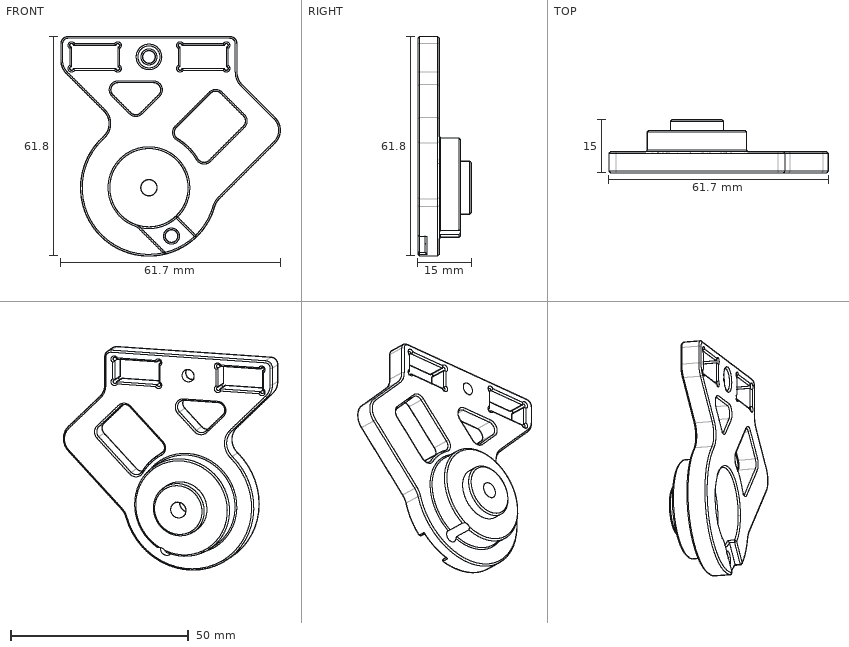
import cadquery as cq
import math


PLATE_THICKNESS = 6.0
EDGE_CHAMFER = 0.5
DISC_RADIUS = 19.25
FLANGE_HALF_WIDTH = 24.75
FLANGE_TOP = 42.5
FLANGE_CORNER_RADIUS = 2.0
BEND_RADIUS = 5.0
LEFT_SLOPE_SUM = 8.85
ARM_END = 39.0
ARM_SIDE = 16.19

HUB_RADIUS = 14.0
HUB_HEIGHT = 6.0
HUB_BASE_FLARE = 0.4
BOSS_RADIUS = 7.5
BOSS_HEIGHT = 3.0
TOTAL_DEPTH = PLATE_THICKNESS + HUB_HEIGHT + BOSS_HEIGHT
RECESS_RADIUS = 11.0
RECESS_DEPTH = 6.5
SHAFT_HOLE_RADIUS = 2.25

SLOT_ANGLE = -45.0
SLOT_DEPTH = 2.0
SLOT_WIDTH = 9.0
SCREW_RADIUS = 1.75
SLOT_SCREW_DISTANCE = 15.0
SLOT_SCREW_ANGLE = -65.0

ROW_Z = 36.75
WINDOW_X = 15.25
WINDOW_WIDTH = 13.0
WINDOW_HEIGHT = 6.5
WINDOW_RELIEF_RADIUS = 0.5
COUNTERBORE_RADIUS = 3.1
COUNTERBORE_DEPTH = 2.0

OPENING_CORNER_RADIUS = 2.0
TRIANGLE_TOP = 29.5
TRIANGLE_APEX = (-3.7, 19.7)
ARM_ANGLE = 45.0
ARM_OPENING_HALF_WIDTH = 6.5
ARM_OPENING_END = 33.0
ARM_OPENING_INNER_RADIUS = 16.0

ROOT2 = math.sqrt(2)


def plane_at(depth):
    """Workplane at Y = depth, drawn in X and Z, extruding towards +Y."""
    return cq.Workplane(cq.Plane(origin=(0, depth, 0), xDir=(1, 0, 0), normal=(0, 1, 0)))


def xz(x, z):
    """Sketch point of a plane_at() workplane, whose second axis points to -Z."""
    return (x, -z)


def along(distance, offset, angle):
    """Point at a distance along a direction and an offset to its left."""
    a = math.radians(angle)
    x = distance * math.cos(a) - offset * math.sin(a)
    z = distance * math.sin(a) + offset * math.cos(a)
    return (x, z)


def prism(points, depth, start=0.0):
    return plane_at(start).polyline([xz(*p) for p in points]).close().extrude(depth)


def cylinder(radius, depth, start=0.0, center=(0, 0)):
    return plane_at(start).center(*xz(*center)).circle(radius).extrude(depth)


def bore(radius, depth, start=0.0, center=(0, 0)):
    """Cutter for a round hole with a chamfered mouth at Y = start."""
    mouth = (
        plane_at(start)
        .center(*xz(*center))
        .circle(radius + EDGE_CHAMFER)
        .workplane(offset=EDGE_CHAMFER)
        .circle(radius)
        .loft()
    )
    return cylinder(radius, depth, start, center).union(mouth)


def round_corner(body, corner, radius):
    """Fillet the edge along Y that passes through the given corner."""
    x, z = corner
    middle = (x, PLATE_THICKNESS / 2, z)
    return body.edges("|Y").edges(cq.selectors.NearestToPointSelector(middle)).fillet(radius)


def plate_outline():
    disc = cylinder(DISC_RADIUS, PLATE_THICKNESS)
    left_bend = (-FLANGE_HALF_WIDTH, LEFT_SLOPE_SUM + FLANGE_HALF_WIDTH)
    right_bend = (FLANGE_HALF_WIDTH, ARM_END * ROOT2 - FLANGE_HALF_WIDTH)
    arm_tip = along(ARM_END, -ARM_SIDE, ARM_ANGLE)
    arm_root_distance = math.sqrt(DISC_RADIUS**2 - ARM_SIDE**2)
    arm_root = along(arm_root_distance, -ARM_SIDE, ARM_ANGLE)

    slope_distance = LEFT_SLOPE_SUM / ROOT2
    neck = along(slope_distance, math.sqrt(DISC_RADIUS**2 - slope_distance**2), ARM_ANGLE)

    top_left = (-FLANGE_HALF_WIDTH, FLANGE_TOP)
    top_right = (FLANGE_HALF_WIDTH, FLANGE_TOP)
    web = prism(
        [top_left, top_right, right_bend, arm_tip, arm_root, (0, 0), neck, left_bend],
        PLATE_THICKNESS,
    )
    body = disc.union(web)
    for corner in (top_left, top_right):
        body = round_corner(body, corner, FLANGE_CORNER_RADIUS)
    for corner in (left_bend, right_bend, arm_tip, arm_root, neck):
        body = round_corner(body, corner, BEND_RADIUS)
    return body


def window(center_x):
    """Cutter for a rectangular window with relieved corners."""
    center = xz(center_x, ROW_Z)
    body = plane_at(0).center(*center).rect(WINDOW_WIDTH, WINDOW_HEIGHT).extrude(PLATE_THICKNESS)
    reliefs = (
        plane_at(0)
        .center(*center)
        .rect(WINDOW_WIDTH, WINDOW_HEIGHT, forConstruction=True)
        .vertices()
        .circle(WINDOW_RELIEF_RADIUS)
        .extrude(PLATE_THICKNESS)
    )
    return body.union(reliefs)


def triangle_opening():
    apex_x, apex_z = TRIANGLE_APEX
    half_top = TRIANGLE_TOP - apex_z
    points = [
        (apex_x - half_top, TRIANGLE_TOP),
        (apex_x + half_top, TRIANGLE_TOP),
        TRIANGLE_APEX,
    ]
    return prism(points, PLATE_THICKNESS).edges("|Y").fillet(OPENING_CORNER_RADIUS)


def arm_opening():
    """Cutter along the arm whose inner end follows a circle round the hub."""
    half = ARM_OPENING_HALF_WIDTH
    corners = [(0, -half), (ARM_OPENING_END, -half), (ARM_OPENING_END, half), (0, half)]
    points = [along(distance, offset, ARM_ANGLE) for distance, offset in corners]
    body = prism(points, PLATE_THICKNESS).cut(cylinder(ARM_OPENING_INNER_RADIUS, PLATE_THICKNESS))
    return body.edges("|Y").fillet(OPENING_CORNER_RADIUS)


def slot():
    """Cutter for a straight slot centred on its screw hole, running out through the rim."""
    turn = math.radians(SLOT_SCREW_ANGLE - SLOT_ANGLE)
    middle = SLOT_SCREW_DISTANCE * math.sin(turn)
    left = middle + SLOT_WIDTH / 2
    right = middle - SLOT_WIDTH / 2
    length = 2 * DISC_RADIUS
    corners = [(0, right), (length, right), (length, left), (0, left)]
    return prism([along(distance, side, SLOT_ANGLE) for distance, side in corners], SLOT_DEPTH)


def plate():
    """Plate with its through openings, chamfered along its back edges only."""
    body = plate_outline()
    for cutter in (window(-WINDOW_X), window(WINDOW_X), triangle_opening(), arm_opening()):
        body = body.cut(cutter)
    return body.faces(">Y").edges().chamfer(EDGE_CHAMFER)


def edges_centred_at(body, depth):
    """Edges whose centres lie at Y = depth."""
    reach = 2 * FLANGE_TOP
    slack = 0.01
    return body.edges(
        cq.selectors.BoxSelector((-reach, depth - slack, -reach), (reach, depth + slack, reach))
    )


def chamfer_front(body):
    """Chamfer the front edges, the ends of the slot floor and the corners of the slot walls."""
    front = edges_centred_at(body, 0)
    floor_ends = edges_centred_at(body, SLOT_DEPTH).edges("%CIRCLE")
    wall_corners = edges_centred_at(body, SLOT_DEPTH / 2).edges("|Y")
    return front.add(floor_ends).add(wall_corners).chamfer(EDGE_CHAMFER)


def hub():
    """Drum with a flared foot on the back of the plate, and a smaller boss on top of it."""
    flare = (
        plane_at(PLATE_THICKNESS)
        .circle(HUB_RADIUS + HUB_BASE_FLARE)
        .workplane(offset=HUB_BASE_FLARE)
        .circle(HUB_RADIUS)
        .loft()
    )
    drum = cylinder(HUB_RADIUS, HUB_HEIGHT, PLATE_THICKNESS)
    drum = drum.faces(">Y").edges().chamfer(EDGE_CHAMFER)
    boss = cylinder(BOSS_RADIUS, BOSS_HEIGHT, PLATE_THICKNESS + HUB_HEIGHT)
    boss = boss.faces(">Y").edges().chamfer(EDGE_CHAMFER)
    return drum.union(flare).union(boss)


def counterbored_hole():
    center = (0, ROW_Z)
    head = bore(COUNTERBORE_RADIUS, COUNTERBORE_DEPTH, 0, center)
    shank = bore(SCREW_RADIUS, PLATE_THICKNESS - COUNTERBORE_DEPTH, COUNTERBORE_DEPTH, center)
    return head.union(shank)


def shaft_hole():
    return cylinder(SHAFT_HOLE_RADIUS, TOTAL_DEPTH)


def slot_screw_hole():
    center = along(SLOT_SCREW_DISTANCE, 0, SLOT_SCREW_ANGLE)
    return bore(SCREW_RADIUS, TOTAL_DEPTH - SLOT_DEPTH, SLOT_DEPTH, center)


body = plate().union(hub())
body = body.cut(cylinder(RECESS_RADIUS, RECESS_DEPTH)).cut(slot())
body = chamfer_front(body)
for hole in (shaft_hole(), slot_screw_hole(), counterbored_hole()):
    body = body.cut(hole)

result = body